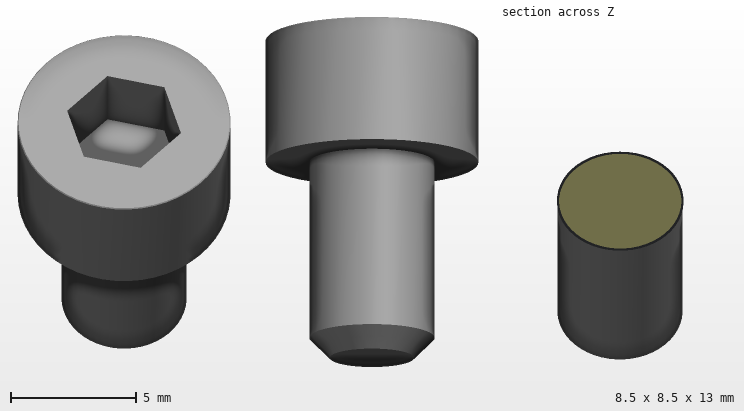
import cadquery as cq
import math

total_length = 13.0
head_diameter = 8.5
head_height = 5.0
head_edge_break = 0.04
shank_diameter = 5.0
tip_chamfer = 0.82
neck_diameter = 4.99
neck_length = 0.2
socket_across_flats = 4.04
socket_depth = 3.0

shank_length = total_length - head_height
neck_start = shank_length - neck_length
socket_across_corners = socket_across_flats / math.cos(math.pi / 6)


def cylinder(diameter, base_z, height):
    """Upright cylinder on the Z axis."""
    return cq.Workplane("XY").workplane(offset=base_z).circle(diameter / 2).extrude(height)


def make_shank():
    """Shank with a chamfered tip at Z = 0 and a very slightly reduced neck under the head."""
    body = cylinder(shank_diameter, 0, neck_start).faces("<Z").chamfer(tip_chamfer)
    neck = cylinder(neck_diameter, neck_start, neck_length)
    return body.union(neck)


def make_head():
    """Cylindrical head with a fine chamfer around its top edge."""
    head = cylinder(head_diameter, shank_length, head_height)
    return head.faces(">Z").edges().chamfer(head_edge_break)


def make_socket():
    """Hexagonal drive recess with two corners in line with the X axis."""
    return (
        cq.Workplane("XY")
        .workplane(offset=total_length)
        .polygon(6, socket_across_corners)
        .extrude(-socket_depth)
    )


result = make_shank().union(make_head()).cut(make_socket())